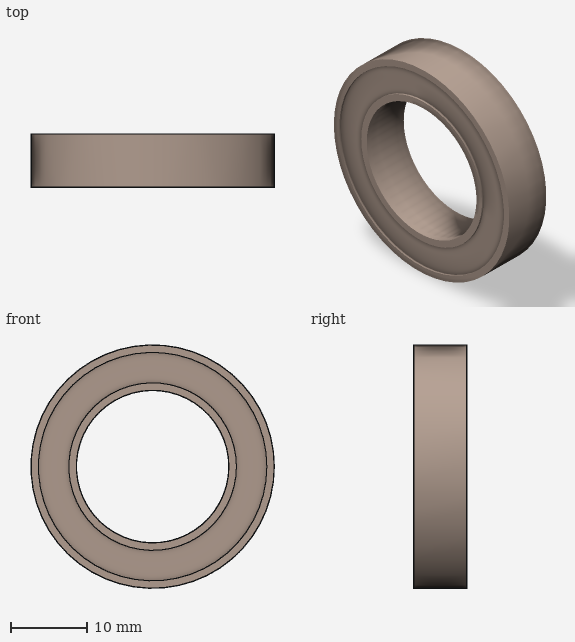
import cadquery as cq

outer_diameter = 32
bore_diameter = 20.0
width = 7.0
seal_outer_diameter = 30.0
seal_inner_diameter = 22.0
seal_recess = 0.3


def ring(large_diameter, small_diameter, length, start_y):
    """Ring around the Y axis, running from start_y towards +Y."""
    plane = cq.Workplane("XZ", origin=(0, start_y, 0))
    return plane.circle(large_diameter / 2).circle(small_diameter / 2).extrude(-length)


result = ring(outer_diameter, bore_diameter, width, -width / 2)

for recess_start in (-width / 2, width / 2 - seal_recess):
    result = result.cut(ring(seal_outer_diameter, seal_inner_diameter, seal_recess, recess_start))